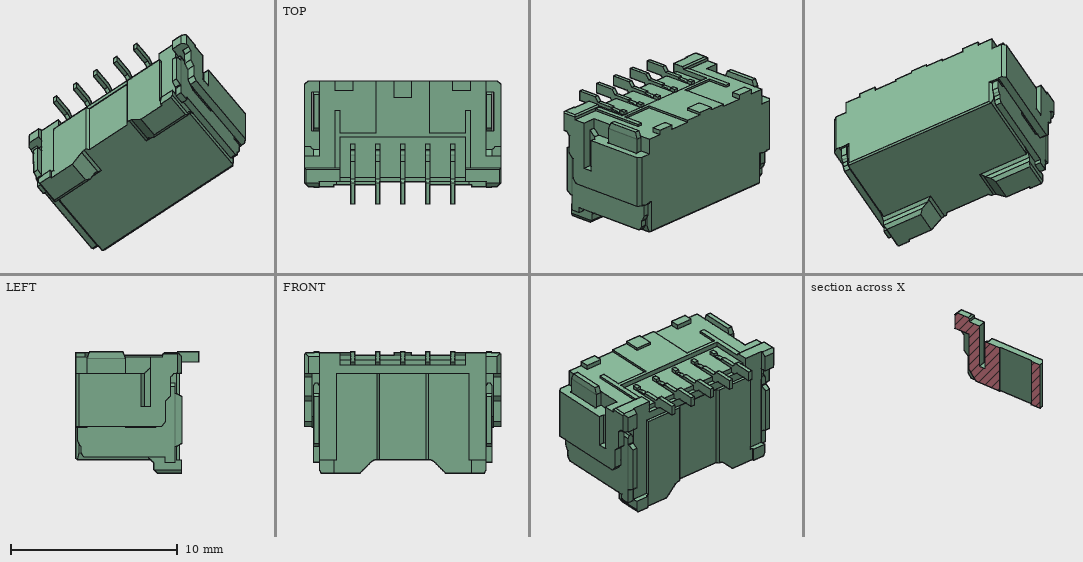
import cadquery as cq


BODY_HALF = 5.0
BODY_DEPTH = 6.05
BODY_BOTTOM = 0.8
BODY_TOP = 6.97
RAISED_TOP = 7.1
CREST_TOP = 7.25
BOTTOM_BEVEL = (0.1, 0.42)
BACK_BEVEL = 0.1
BACK_CORNER = 0.2

PANEL_HALF = 3.97
PANEL_DEPTH = 6.24
PANEL_TOP = 6.0
RELIEF_HALF_OUTER = 1.55
RELIEF_HALF_INNER = 1.4
RELIEF_DEPTH = 6.08
FOOT_INNER = 4.13
FRONT_DEPTH = 6.36
FOOT_BACK = 4.69
FOOT_GUSSET = 0.6
FOOT_BEVEL = (0.1, 0.2)
FOOT_HEEL = 0.22
ARCH_TOP_HALF = 1.68
ARCH_KNEE = (1.87, 0.71)
ARCH_BOTTOM_HALF = 2.57

RECESS_HALF = 3.76
RECESS_BACK = 3.36
RECESS_FLOOR = 6.8
RECESS_STEP_DEPTH = 5.8
RECESS_STEP_FLOOR = 6.5
RIB_WIDTH = 0.31
RIB_BACK = 1.78
CENTRE_PANEL_HALF = 1.6
CROSS_RIB_BACK = 3.14
SIDE_BUMP_CENTRE = 3.53
SIDE_BUMP_WIDTH = 1.06
SIDE_BUMP_DEPTH = 0.57
CENTRE_BUMP_WIDTH = 1.03
CENTRE_BUMP_DEPTH = 1.0
BLOCK_BACK = 5.23
BLOCK_BEVEL = 0.1
BLOCK_FRONT_BEVEL = 0.23

GUARD_HALF = 5.9
GUARD_BOTTOM = 2.8
GUARD_TOP = 6.0
GUARD_INNER = 5.45
GUARD_BACK_CORNER = (0.23, 0.19)
GUARD_FRONT_EDGE = [
    (5.16, GUARD_BOTTOM),
    (5.4, 3.1),
    (5.4, 4.35),
    (5.71, 4.65),
    (5.71, 5.78),
    (5.92, GUARD_TOP),
]
SLOT_BACK = 3.93
SLOT_FRONT = 4.5
SLOT_BOTTOM = 4.0
RAMP_START = 4.13
RAMP_TOP = 6.35
WEB_DEPTH = 5.3
WEB_BOTTOM = 2.76
WEB_CUT_BACK = 4.8
WEB_CUT_TOP = 3.4

CLIP_OUTER = 5.37
CLIP_FRONT = 5.98
CLIP_NECK_DEPTH = 5.38
CLIP_FOOT = 0.65
CLIP_BOTTOM = 0.97
CLIP_HEAD = 5.42
CLIP_BACK_EDGE = [
    (0.1, GUARD_BOTTOM),
    (0.1, 2.0),
    (0.2, 1.75),
    (0.32, 1.6),
    (0.32, 1.22),
    (0.5, CLIP_BOTTOM),
]
CLIP_BEVEL = (0.1, 0.2)
TAB_BACK = 0.67
TAB_FRONT = 3.0
TAB_SHOULDER = 6.9
TAB_TOP = 7.3
TAB_TAPER = 0.16
CLIP_TAPER = 0.035
FRONT_TAB_BOTTOM = 1.6
FRONT_TAB_TOP = 4.8
FRONT_TAB_TAPER = 0.2
FRONT_TAB_SHOULDER = 6.05
FRONT_TAB_DEPTH = 6.4

PIN_COUNT = 5
PIN_PITCH = 1.5
PIN_WIDTH = 0.25
PIN_SIDE = [
    (3.78, 6.6),
    (3.78, 7.0),
    (4.13, 7.0),
    (4.16, 6.84),
    (4.2, 6.84),
    (4.46, 6.9),
    (4.83, 6.9),
    (4.83, 7.0),
    (5.9, 7.0),
    (6.13, 7.3),
    (7.4, 7.3),
    (7.4, 6.68),
    (6.3, 6.68),
    (6.05, 6.5),
    (5.5, 6.5),
]


def block(x_min, x_max, depth_back, depth_front, z_min, z_max):
    """Box between two X limits, two depths and two heights."""
    size = (x_max - x_min, depth_front - depth_back, z_max - z_min)
    return cq.Workplane("XY").box(*size, centered=False).translate((x_min, -depth_front, z_min))


def side_prism(outline, x_min, x_max):
    """Extrude a (depth, height) outline along X."""
    points = [(-depth, height) for depth, height in outline]
    return cq.Workplane("YZ", origin=(x_min, 0, 0)).polyline(points).close().extrude(x_max - x_min)


def front_prism(outline, depth_back, depth_front):
    """Extrude an (x, height) outline toward -Y."""
    sketch = cq.Workplane("XZ", origin=(0, -depth_back, 0)).polyline(outline)
    return sketch.close().extrude(depth_front - depth_back)


def top_prism(outline, z_min, z_max):
    """Extrude an (x, depth) outline upward."""
    points = [(x, -depth) for x, depth in outline]
    return cq.Workplane("XY", origin=(0, 0, z_min)).polyline(points).close().extrude(z_max - z_min)


def both_sides(solid):
    """Add the mirror image across the symmetry plane."""
    return solid.union(solid.mirror("YZ"))


def make_body():
    """Main housing block with bevelled lower edges and back corners."""
    bevel_width, bevel_height = BOTTOM_BEVEL
    section = [
        (-BODY_HALF + bevel_width, BODY_BOTTOM),
        (BODY_HALF - bevel_width, BODY_BOTTOM),
        (BODY_HALF, BODY_BOTTOM + bevel_height),
        (BODY_HALF, BODY_TOP),
        (-BODY_HALF, BODY_TOP),
        (-BODY_HALF, BODY_BOTTOM + bevel_height),
    ]
    body = front_prism(section, 0, BODY_DEPTH)
    corner = [(BODY_HALF, 0), (BODY_HALF - BACK_CORNER, 0), (BODY_HALF, BACK_CORNER)]
    body = body.cut(both_sides(top_prism(corner, 0, GUARD_BOTTOM)))
    return body.faces("<Z").edges(">Y").chamfer(BACK_BEVEL)


def make_feet_and_panel():
    """Front panel and the two feet, separated by an arched cut-out."""
    panel = block(-PANEL_HALF, PANEL_HALF, BODY_DEPTH, PANEL_DEPTH, 0, PANEL_TOP)
    relief = [
        (-RELIEF_HALF_OUTER, PANEL_DEPTH),
        (-RELIEF_HALF_INNER, RELIEF_DEPTH),
        (RELIEF_HALF_INNER, RELIEF_DEPTH),
        (RELIEF_HALF_OUTER, PANEL_DEPTH),
    ]
    panel = panel.cut(top_prism(relief, 0, PANEL_TOP))

    bevel_top = BODY_BOTTOM + BOTTOM_BEVEL[1]
    foot_side = [
        (FOOT_BACK - FOOT_GUSSET, bevel_top),
        (FOOT_BACK, bevel_top - FOOT_GUSSET),
        (FOOT_BACK, FOOT_HEEL),
        (FOOT_BACK + FOOT_HEEL, 0),
        (PANEL_DEPTH, 0),
        (PANEL_DEPTH, BODY_BOTTOM),
        (BODY_DEPTH, BODY_BOTTOM),
        (BODY_DEPTH, bevel_top),
    ]
    feet = side_prism(foot_side, -BODY_HALF, BODY_HALF)
    toe = block(FOOT_INNER, BODY_HALF, BODY_DEPTH, FRONT_DEPTH, 0, BODY_BOTTOM)
    feet = feet.union(both_sides(toe)).union(panel)

    knee_x, knee_z = ARCH_KNEE
    arch = [
        (-ARCH_BOTTOM_HALF, 0),
        (-knee_x, knee_z),
        (-ARCH_TOP_HALF, BODY_BOTTOM),
        (ARCH_TOP_HALF, BODY_BOTTOM),
        (knee_x, knee_z),
        (ARCH_BOTTOM_HALF, 0),
    ]
    bevel_width, bevel_height = FOOT_BEVEL
    bevel = [(BODY_HALF, 0), (BODY_HALF - bevel_width, 0), (BODY_HALF, bevel_height)]
    feet = feet.cut(front_prism(arch, 0, FRONT_DEPTH))
    return feet.cut(both_sides(front_prism(bevel, 0, FRONT_DEPTH)))


def make_roof():
    """Raised ribs, centre panel and back bumps on the roof."""
    rib_outer = RECESS_HALF + RIB_WIDTH
    rib = block(RECESS_HALF, rib_outer, RIB_BACK, BODY_DEPTH, BODY_TOP, RAISED_TOP)
    bump_min = SIDE_BUMP_CENTRE - SIDE_BUMP_WIDTH / 2
    bump_max = SIDE_BUMP_CENTRE + SIDE_BUMP_WIDTH / 2
    bump = block(bump_min, bump_max, 0, SIDE_BUMP_DEPTH, BODY_TOP, CREST_TOP)
    roof = both_sides(rib.union(bump))

    cross_rib = block(-RECESS_HALF, RECESS_HALF, CROSS_RIB_BACK, RECESS_BACK, BODY_TOP, RAISED_TOP)
    centre_panel = block(-CENTRE_PANEL_HALF, CENTRE_PANEL_HALF, 0, RECESS_BACK, BODY_TOP, RAISED_TOP)
    half_bump = CENTRE_BUMP_WIDTH / 2
    centre_bump = block(-half_bump, half_bump, 0, CENTRE_BUMP_DEPTH, BODY_TOP, CREST_TOP)
    return roof.union(cross_rib).union(centre_panel).union(centre_bump)


def make_recess():
    """Two-level pocket in the roof that is open to the front."""
    floor = block(-RECESS_HALF, RECESS_HALF, RECESS_BACK, FRONT_DEPTH, RECESS_FLOOR, CREST_TOP)
    step = block(-RECESS_HALF, RECESS_HALF, RECESS_STEP_DEPTH, FRONT_DEPTH, RECESS_STEP_FLOOR, CREST_TOP)
    return floor.union(step)


def make_front_block():
    """Upper front corner block on the +X side, with bevelled outer edges."""
    inner = block(RECESS_HALF, BODY_HALF, BLOCK_BACK, BODY_DEPTH, GUARD_TOP, CREST_TOP)
    outer = block(BODY_HALF, GUARD_HALF, BLOCK_BACK, FRONT_DEPTH, GUARD_TOP, CREST_TOP)
    corner = [
        (GUARD_HALF - BLOCK_FRONT_BEVEL, FRONT_DEPTH),
        (GUARD_HALF, FRONT_DEPTH - BLOCK_FRONT_BEVEL),
        (GUARD_HALF, FRONT_DEPTH),
    ]
    front_edge = [
        (FRONT_DEPTH - BLOCK_FRONT_BEVEL, CREST_TOP),
        (FRONT_DEPTH, CREST_TOP - BLOCK_FRONT_BEVEL),
        (FRONT_DEPTH, CREST_TOP),
    ]
    back_edge = [
        (BLOCK_BACK, CREST_TOP - BLOCK_BEVEL),
        (BLOCK_BACK + BLOCK_BEVEL, CREST_TOP),
        (BLOCK_BACK, CREST_TOP),
    ]
    side_edge = [
        (GUARD_HALF - BLOCK_BEVEL, CREST_TOP),
        (GUARD_HALF, CREST_TOP - BLOCK_BEVEL),
        (GUARD_HALF, CREST_TOP),
    ]
    solid = inner.union(outer)
    solid = solid.cut(top_prism(corner, GUARD_TOP, CREST_TOP))
    solid = solid.cut(side_prism(front_edge, BODY_HALF, GUARD_HALF))
    solid = solid.cut(side_prism(back_edge, RECESS_HALF, GUARD_HALF))
    return solid.cut(front_prism(side_edge, BLOCK_BACK, FRONT_DEPTH))


def make_guard():
    """Side guard plate on the +X side, with its keyway and clip slot."""
    plate_side = [(0, GUARD_BOTTOM)] + GUARD_FRONT_EDGE + [(0, GUARD_TOP)]
    plate = side_prism(plate_side, GUARD_INNER, GUARD_HALF)
    web_side = [
        (0, WEB_BOTTOM),
        (WEB_CUT_BACK, WEB_BOTTOM),
        (WEB_DEPTH, WEB_CUT_TOP),
        (WEB_DEPTH, GUARD_TOP),
        (0, GUARD_TOP),
    ]
    web = side_prism(web_side, BODY_HALF, GUARD_INNER)
    shoulder = block(BODY_HALF, GUARD_HALF, SLOT_FRONT, BLOCK_BACK, GUARD_TOP, BODY_TOP)
    guard = plate.union(web).union(shoulder)

    ramp_side = [(RAMP_START, GUARD_TOP), (SLOT_FRONT, RAMP_TOP), (SLOT_FRONT, GUARD_TOP)]
    guard = guard.union(side_prism(ramp_side, BODY_HALF, CLIP_OUTER))

    keyway = [
        (CLIP_OUTER, SLOT_FRONT),
        (CLIP_OUTER, RAMP_START),
        (CLIP_OUTER + RAMP_START - SLOT_BACK, SLOT_BACK),
        (GUARD_HALF, SLOT_BACK),
        (GUARD_HALF, SLOT_FRONT),
    ]
    corner_width, corner_depth = GUARD_BACK_CORNER
    back_corner = [(GUARD_HALF, 0), (GUARD_HALF - corner_width, 0), (GUARD_HALF, corner_depth)]
    guard = guard.cut(top_prism(keyway, SLOT_BOTTOM, GUARD_TOP))
    guard = guard.cut(top_prism(back_corner, GUARD_BOTTOM, GUARD_TOP))
    clip_slot = block(BODY_HALF, GUARD_INNER, TAB_BACK, TAB_FRONT, WEB_BOTTOM, GUARD_TOP)
    return guard.cut(clip_slot)


def make_clip():
    """Hold-down clip on the +X side: a sheet with an upper tab and a front solder tab."""
    sheet_side = CLIP_BACK_EDGE + [
        (CLIP_NECK_DEPTH, CLIP_BOTTOM),
        (CLIP_NECK_DEPTH, CLIP_FOOT),
        (CLIP_FRONT, CLIP_FOOT),
        (CLIP_FRONT, CLIP_HEAD),
        (WEB_CUT_BACK, CLIP_HEAD),
        (WEB_CUT_BACK, GUARD_BOTTOM),
    ]
    sheet = side_prism(sheet_side, BODY_HALF, CLIP_OUTER)
    bevel_width, bevel_height = CLIP_BEVEL
    for edge, inward in ((BODY_HALF, bevel_width), (CLIP_OUTER, -bevel_width)):
        bevel = [(edge, CLIP_HEAD), (edge + inward, CLIP_HEAD), (edge, CLIP_HEAD - bevel_height)]
        sheet = sheet.cut(front_prism(bevel, WEB_DEPTH, CLIP_FRONT))

    tab_side = [
        (TAB_BACK, GUARD_BOTTOM),
        (TAB_BACK, TAB_SHOULDER),
        (TAB_BACK + TAB_TAPER, TAB_TOP),
        (TAB_FRONT - TAB_TAPER, TAB_TOP),
        (TAB_FRONT, TAB_SHOULDER),
        (TAB_FRONT, GUARD_BOTTOM),
    ]
    tab = side_prism(tab_side, BODY_HALF, CLIP_OUTER)
    front_tab_side = [
        (CLIP_FRONT, FRONT_TAB_BOTTOM),
        (FRONT_TAB_SHOULDER, FRONT_TAB_BOTTOM),
        (FRONT_TAB_DEPTH, FRONT_TAB_BOTTOM + FRONT_TAB_TAPER),
        (FRONT_TAB_DEPTH, FRONT_TAB_TOP - FRONT_TAB_TAPER),
        (FRONT_TAB_SHOULDER, FRONT_TAB_TOP),
        (CLIP_FRONT, FRONT_TAB_TOP),
    ]
    front_tab = side_prism(front_tab_side, BODY_HALF, CLIP_OUTER)
    for edge, inward in ((BODY_HALF, CLIP_TAPER), (CLIP_OUTER, -CLIP_TAPER)):
        top_wedge = [(edge, TAB_SHOULDER), (edge, TAB_TOP), (edge + inward, TAB_TOP)]
        tab = tab.cut(front_prism(top_wedge, TAB_BACK, TAB_FRONT))
        front_wedge = [
            (edge, CLIP_FRONT),
            (edge, FRONT_TAB_DEPTH),
            (edge + inward, FRONT_TAB_DEPTH),
        ]
        front_tab = front_tab.cut(top_prism(front_wedge, FRONT_TAB_BOTTOM, FRONT_TAB_TOP))
    return sheet.union(tab).union(front_tab)


def make_pin(x_centre):
    """One flat contact centred at the given X."""
    return side_prism(PIN_SIDE, x_centre - PIN_WIDTH / 2, x_centre + PIN_WIDTH / 2)


result = make_body().union(make_feet_and_panel()).union(make_roof())
result = result.union(both_sides(make_front_block()))
result = result.cut(make_recess())
result = result.union(both_sides(make_guard()))
result = result.union(both_sides(make_clip()))
for index in range(PIN_COUNT):
    result = result.union(make_pin((index - (PIN_COUNT - 1) / 2) * PIN_PITCH))